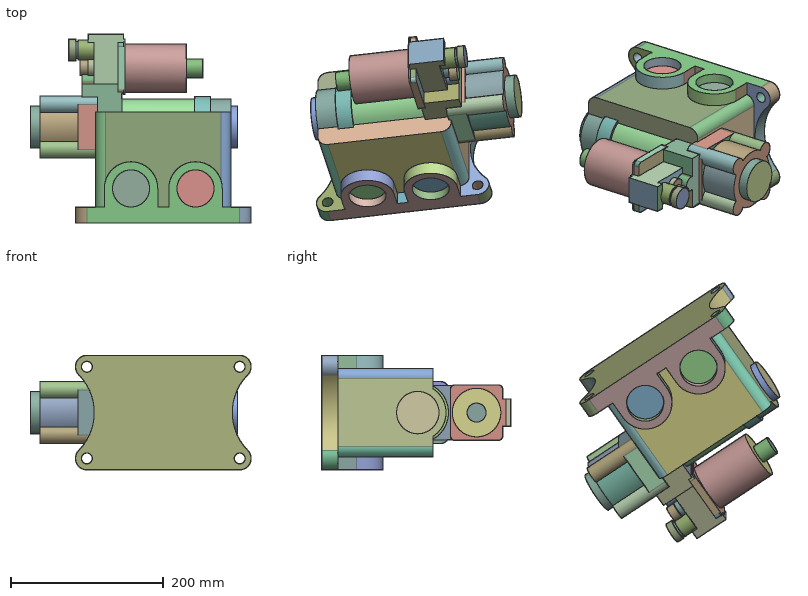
import cadquery as cq
import math


hole_spacing_x = 200.0
hole_spacing_z = 120.0
corner_radius = 15.0
mount_hole_diameter = 14.0
plate_thickness = 21.0
plate_scallop_radius = 70.0
plate_height = hole_spacing_z + 2 * corner_radius

body_length = 177.5
body_height = 116.0
body_depth = 145.6
body_corner_radius = 13.3
body_end_x = body_length / 2

port_x = 42.2
port_y = 45.5
boss_radius = 35.0
port_diameter = 48.5
port_depth = 12.0

spool_axis_y = 125.7
housing_radius = 37.0
collar_radius = 40.2
collar_start_x = 41.0
collar_length = 20.8
cap_radius = 27.7
right_cap_length = 8.5
left_cap_length = 12.5
motor_left_x = -161.5
motor_flange_x = -111.3
motor_right_x = -85.8
motor_radius = 39.0
motor_width = 81.5
lobe_radius = 11.3

block_half_height = 35.5
block_step_y = 165.0
block_top_y = 181.8
block_left_x = -106.3
block_right_x = -54.3
column_half_height = 18.0
column_left_x = -90.7
column_right_x = -59.5
cross_left_x = -98.3
cross_right_x = -52.0
cross_bottom_y = 236.5
cross_top_y = 247.5
tab_right_x = -50.0
tab_top_y = 241.0

solenoid_axis_y = 202.5
flange_width_y = 67.0
seal_width_y = 68.8
flange_height_z = 72.8
flange_corner_radius = 5.2
seal_corner_radius = 5.8
solenoid_radius = 31.8
solenoid_end_x = 30.3
pin_radius = 12.5
pin_end_x = 51.7

connector_y = 226.5
connector_radius = 13.3
connector_shoulder_x = -111.5
neck_radius = 11.3
neck_end_x = -114.5
connector_head_radius = 14.2
connector_end_x = -123.7
plug_y = 203.5
plug_base_radius = 11.5
plug_base_x = -98.3
plug_radius = 10.5
plug_offset_z = -7.2
plug_end_x = -109.2
pad_y = 184.7
pad_radius = 9.8


def rod(x_start, x_end, radius, y, z=0):
    """Cylinder along X between two X positions."""
    return cq.Workplane("YZ", origin=(x_start, y, z)).circle(radius).extrude(x_end - x_start)


def block(x_start, x_end, y_start, y_end, half_height):
    """Box centred on Z = 0."""
    size = (x_end - x_start, y_end - y_start, 2 * half_height)
    corner = (x_start, y_start, -half_height)
    return cq.Workplane("XY", origin=corner).box(*size, centered=False)


def mounting_plate():
    hole_x = hole_spacing_x / 2
    hole_z = hole_spacing_z / 2
    centre_distance = plate_scallop_radius + corner_radius
    scallop_run = math.sqrt(centre_distance**2 - hole_z**2)
    corner_share = corner_radius / centre_distance
    tangent_x = hole_x + scallop_run * corner_share
    tangent_z = hole_z * (1 - corner_share)

    web = cq.Workplane("XZ").rect(2 * tangent_x, 2 * tangent_z).extrude(-plate_thickness)
    web = web.union(cq.Workplane("XZ").rect(hole_spacing_x, plate_height).extrude(-plate_thickness))
    scallops = (
        cq.Workplane("XZ")
        .pushPoints([(side * (hole_x + scallop_run), 0) for side in (-1, 1)])
        .circle(plate_scallop_radius)
        .extrude(-plate_thickness)
    )
    corners = cq.Workplane("XZ").rect(hole_spacing_x, hole_spacing_z, forConstruction=True).vertices()
    rounds = corners.circle(corner_radius).extrude(-plate_thickness)
    holes = corners.circle(mount_hole_diameter / 2).extrude(-plate_thickness)
    return web.cut(scallops).union(rounds).cut(holes)


def main_body():
    return (
        cq.Workplane("XZ")
        .rect(body_length, body_height)
        .extrude(-body_depth)
        .edges("|Y")
        .fillet(body_corner_radius)
    )


def port_bosses():
    bosses = cq.Workplane("XY")
    for x in (-port_x, port_x):
        dome = cq.Workplane("XY").center(x, port_y).circle(boss_radius).extrude(plate_height / 2, both=True)
        foot = block(x - boss_radius, x + boss_radius, 0, port_y, plate_height / 2)
        bosses = bosses.union(dome).union(foot)
    return bosses


def port_holes():
    ports = [(-port_x, port_y), (port_x, port_y)]
    blind_hole = (
        cq.Workplane("XY", origin=(0, 0, plate_height / 2))
        .pushPoints(ports)
        .circle(port_diameter / 2)
        .extrude(-port_depth)
    )
    return blind_hole.union(blind_hole.mirror("XY"))


def spool_housing():
    housing = rod(block_right_x, body_end_x, housing_radius, spool_axis_y)
    collar = rod(collar_start_x, collar_start_x + collar_length, collar_radius, spool_axis_y)
    cap = rod(body_end_x, body_end_x + right_cap_length, cap_radius, spool_axis_y)
    return housing.union(collar).union(cap)


def motor():
    lobe_spacing = motor_width - 2 * lobe_radius
    profile = cq.Sketch().circle(motor_radius).rarray(lobe_spacing, lobe_spacing, 2, 2).circle(lobe_radius)
    ribbed_barrel = (
        cq.Workplane("YZ", origin=(motor_left_x, spool_axis_y, 0))
        .placeSketch(profile.clean())
        .extrude(motor_right_x - motor_left_x)
    )
    flange_plane = cq.Workplane("YZ", origin=(motor_flange_x, spool_axis_y, 0))
    flange_length = motor_right_x - motor_flange_x
    flange = flange_plane.rect(motor_width, lobe_spacing).extrude(flange_length)
    flange = flange.union(flange_plane.rect(lobe_spacing, motor_width).extrude(flange_length))
    cap = rod(motor_left_x - left_cap_length, motor_left_x, cap_radius, spool_axis_y)
    return ribbed_barrel.union(flange).union(cap)


def pilot_valve():
    riser = block(motor_right_x, block_right_x, spool_axis_y, block_top_y, block_half_height)
    ledge = block(block_left_x, block_right_x, block_step_y, block_top_y, block_half_height)
    column = block(column_left_x, column_right_x, block_top_y, cross_top_y, column_half_height)
    crossbar = block(cross_left_x, cross_right_x, cross_bottom_y, cross_top_y, column_half_height)
    tab = block(column_right_x, tab_right_x, solenoid_axis_y, tab_top_y, column_half_height)
    return riser.union(ledge).union(column).union(crossbar).union(tab)


def rounded_plate(x_start, x_end, width_y, corner_radius_yz):
    """Plate across X with rounded corners, centred on the solenoid axis."""
    return (
        cq.Workplane("YZ", origin=(x_start, solenoid_axis_y, 0))
        .rect(width_y, flange_height_z)
        .extrude(x_end - x_start)
        .edges("|X")
        .fillet(corner_radius_yz)
    )


def solenoid():
    flange = rounded_plate(column_right_x, cross_right_x, flange_width_y, flange_corner_radius)
    seal = rounded_plate(cross_right_x, tab_right_x, seal_width_y, seal_corner_radius)
    coil = rod(tab_right_x, solenoid_end_x, solenoid_radius, solenoid_axis_y)
    pin = rod(solenoid_end_x, pin_end_x, pin_radius, solenoid_axis_y)
    return flange.union(seal).union(coil).union(pin)


def connectors():
    socket = rod(connector_shoulder_x, column_left_x, connector_radius, connector_y)
    neck = rod(neck_end_x, connector_shoulder_x, neck_radius, connector_y)
    head = rod(connector_end_x, neck_end_x, connector_head_radius, connector_y)
    plug_base = rod(plug_base_x, column_left_x, plug_base_radius, plug_y)
    plug = rod(plug_end_x, plug_base_x, plug_radius, plug_y, plug_offset_z)
    pad_round = rod(block_left_x, column_left_x, pad_radius, pad_y)
    pad_foot = block(block_left_x, column_left_x, block_top_y, pad_y, pad_radius)
    joined = socket.union(neck).union(head)
    joined = joined.union(plug_base).union(plug)
    return joined.union(pad_round).union(pad_foot)


result = mounting_plate().union(main_body()).union(port_bosses()).cut(port_holes())
for feature in (spool_housing(), motor(), pilot_valve(), solenoid(), connectors()):
    result = result.union(feature)